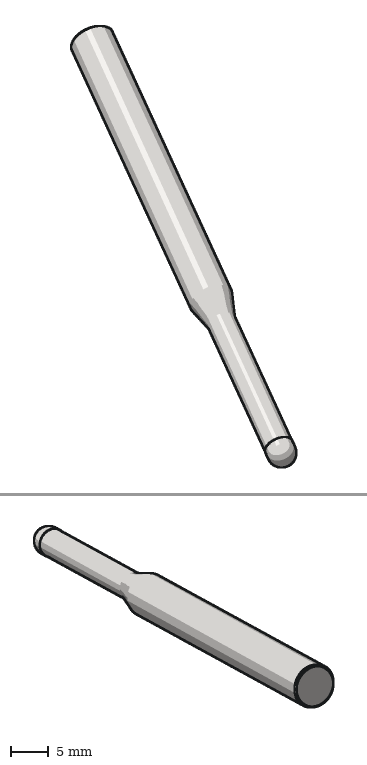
import cadquery as cq
import math

total_length = 75.0
shank_diameter = 6.0
shank_length = 46.0
shank_chamfer = 0.2
taper_length = 4.0

neck_diameter = 3.9
tip_diameter = 4.0
tip_length = 3.1

shank_radius = shank_diameter / 2
neck_radius = neck_diameter / 2
tip_radius = tip_diameter / 2
taper_end = shank_length + taper_length
tip_start = total_length - tip_length
ball_center = total_length - tip_radius
ball_mid_offset = tip_radius * math.sqrt(0.5)

profile = (
    cq.Workplane("XY")
    .moveTo(0, 0)
    .lineTo(0, shank_radius - shank_chamfer)
    .lineTo(shank_chamfer, shank_radius)
    .lineTo(shank_length, shank_radius)
    .lineTo(taper_end, neck_radius)
    .lineTo(tip_start, neck_radius)
    .lineTo(tip_start, tip_radius)
    .lineTo(ball_center, tip_radius)
    .threePointArc((ball_center + ball_mid_offset, ball_mid_offset), (total_length, 0))
    .close()
)

result = profile.revolve(360, (0, 0, 0), (1, 0, 0))